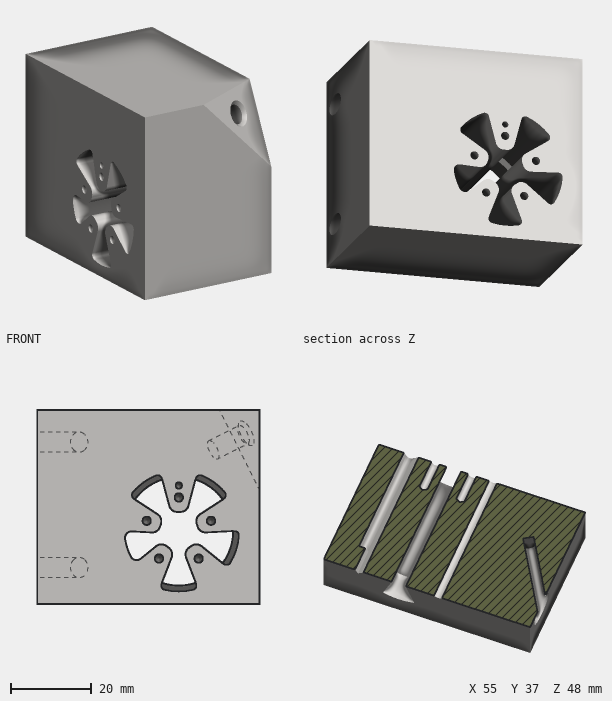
import cadquery as cq
import math

LENGTH = 55.0
WIDTH = 37.0
HEIGHT = 48.0

FACET_X = 10.0
FACET_Y = 19.8
FACET_Z = 20.0
FACET_NORMAL = cq.Vector(1 / FACET_X, 1 / FACET_Y, 1 / FACET_Z).normalized()

FACET_HOLE_X = 51.6
FACET_HOLE_Y = 29.6
FACET_HOLE_DIAMETER = 5.0
FACET_HOLE_DEPTH = 10.0
COUNTERSINK_DIAMETER = 6.7
COUNTERSINK_ANGLE = 90.0

STAR_X = 35.0
STAR_Z = 18.0
LOBE_COUNT = 5
LOBE_PITCH = 360.0 / LOBE_COUNT
FIRST_LOBE_ANGLE = -90.0
SHORT_LOBE = 4
LOBE_HALF_ANGLE = 21.0
LOBE_APEX_RADIUS = 1.9
CORE_RADIUS = 4.75
TOOTH_TIP_FILLET = 2.1

THROUGH_RADIUS = 13.4
RECESS_RADIUS = 14.9
RECESS_DEPTH = 30.0
RECESS_CORNER_FILLET = 1.1
SHORT_LOBE_CORNER_FILLET = 1.6

SCREW_CIRCLE_RADIUS = 8.35
SCREW_HOLE_DIAMETER = 2.1
SCREW_HOLE_DEPTH = 8.0
PIN_CIRCLE_RADIUS = 11.3
PIN_ANGLE = 90.0
PIN_HOLE_DIAMETER = 1.6
PIN_HOLE_DEPTH = 4.0
DRILL_POINT_ANGLE = 118.0

SLANT_HOLE_DIAMETER = 5.0
SLANT_HOLE_DEPTH = 20.0
SLANT_HOLE_Y = 29.45
SLANT_HOLE_HEIGHTS = (9.1, 40.1)
SLANT_ANGLE = 59.0


def star_point(radius, angle):
    """XZ position at a polar location about the star axis."""
    turn = math.radians(angle)
    return (STAR_X + radius * math.cos(turn), STAR_Z + radius * math.sin(turn))


def lobe_angle(index):
    return FIRST_LOBE_ANGLE + index * LOBE_PITCH


def edges_at_radius(solid, low, high):
    """Edges along Y whose distance from the star axis lies between low and high."""
    def distance(edge):
        centre = edge.Center()
        return math.hypot(centre.x - STAR_X, centre.z - STAR_Z)

    return solid.newObject([e for e in solid.edges("|Y").vals() if low < distance(e) < high])


def star_disc(radius, depth):
    """Disc about the star axis, going in from the -Y face."""
    return cq.Workplane("XZ").center(STAR_X, STAR_Z).circle(radius).extrude(-depth)


def lobe(angle, end_radius, depth):
    """Wedge-shaped lobe with a round outer end, going in from the -Y face."""
    reach = 2 * end_radius
    half_width = (reach - LOBE_APEX_RADIUS) * math.tan(math.radians(LOBE_HALF_ANGLE))
    corner_radius = math.hypot(reach, half_width)
    corner_angle = math.degrees(math.atan2(half_width, reach))
    corners = [
        star_point(LOBE_APEX_RADIUS, angle),
        star_point(corner_radius, angle - corner_angle),
        star_point(corner_radius, angle + corner_angle),
    ]
    wedge = cq.Workplane("XZ").polyline(corners).close().extrude(-depth)
    return wedge.intersect(star_disc(end_radius, depth))


def round_lobe_end(solid, fillet):
    return edges_at_radius(solid, CORE_RADIUS, 2 * RECESS_RADIUS).fillet(fillet)


def through_star():
    """Full-depth star with rounded tooth tips."""
    star = star_disc(CORE_RADIUS, WIDTH)
    for index in range(LOBE_COUNT):
        cutter = lobe(lobe_angle(index), THROUGH_RADIUS, WIDTH)
        if index == SHORT_LOBE:
            cutter = round_lobe_end(cutter, SHORT_LOBE_CORNER_FILLET)
        star = star.union(cutter)
    tolerance = 0.01
    tooth_corners = edges_at_radius(star, CORE_RADIUS - tolerance, CORE_RADIUS + tolerance)
    return tooth_corners.fillet(TOOTH_TIP_FILLET)


def lobe_recess(index):
    """Longer lobe end with rounded corners, clear of the rounded tooth tips."""
    recess = round_lobe_end(lobe(lobe_angle(index), RECESS_RADIUS, RECESS_DEPTH), RECESS_CORNER_FILLET)
    inner_radius = (CORE_RADIUS + THROUGH_RADIUS) / 2
    return recess.cut(star_disc(inner_radius, RECESS_DEPTH))


def drilled_hole(radius, angle, diameter, depth):
    """Blind hole with a conical end, drilled into the -Y face."""
    hole_radius = diameter / 2
    point_length = hole_radius / math.tan(math.radians(DRILL_POINT_ANGLE / 2))
    profile = [(0, 0), (hole_radius, 0), (hole_radius, depth), (0, depth + point_length)]
    hole = cq.Workplane("XY").polyline(profile).close().revolve(360, (0, 0), (0, 1))
    x, z = star_point(radius, angle)
    return hole.translate((x, 0, z))


def slanted_hole(z):
    turn = math.radians(SLANT_ANGLE)
    direction = cq.Vector(math.cos(turn), -math.sin(turn), 0)
    entry = cq.Vector(0, SLANT_HOLE_Y, z)
    lead_in = 2 * SLANT_HOLE_DIAMETER
    start = entry - direction * lead_in
    return cq.Solid.makeCylinder(SLANT_HOLE_DIAMETER / 2, lead_in + SLANT_HOLE_DEPTH, start, direction)


def corner_cut():
    """Everything on the outer side of the facet plane."""
    facet_plane = cq.Plane(origin=(LENGTH - FACET_X, WIDTH, HEIGHT), normal=FACET_NORMAL)
    return cq.Workplane(facet_plane).rect(2 * LENGTH, 2 * LENGTH).extrude(LENGTH)


def facet_hole():
    drop_share = 1 - (LENGTH - FACET_HOLE_X) / FACET_X - (WIDTH - FACET_HOLE_Y) / FACET_Y
    mouth = cq.Vector(FACET_HOLE_X, FACET_HOLE_Y, HEIGHT - FACET_Z * drop_share)
    inward = FACET_NORMAL * -1
    hole_radius = FACET_HOLE_DIAMETER / 2
    sink_radius = COUNTERSINK_DIAMETER / 2
    sink_depth = (sink_radius - hole_radius) / math.tan(math.radians(COUNTERSINK_ANGLE / 2))
    bore = cq.Solid.makeCylinder(hole_radius, FACET_HOLE_DEPTH, mouth, inward)
    sink = cq.Solid.makeCone(sink_radius, hole_radius, sink_depth, mouth, inward)
    return bore.fuse(sink)


result = cq.Workplane("XY").box(LENGTH, WIDTH, HEIGHT, centered=False)
result = result.cut(corner_cut()).cut(facet_hole())

result = result.cut(through_star())
for lobe_index in range(LOBE_COUNT):
    if lobe_index != SHORT_LOBE:
        result = result.cut(lobe_recess(lobe_index))
    tooth_angle = lobe_angle(lobe_index) + LOBE_PITCH / 2
    result = result.cut(drilled_hole(SCREW_CIRCLE_RADIUS, tooth_angle, SCREW_HOLE_DIAMETER, SCREW_HOLE_DEPTH))
result = result.cut(drilled_hole(PIN_CIRCLE_RADIUS, PIN_ANGLE, PIN_HOLE_DIAMETER, PIN_HOLE_DEPTH))

for hole_height in SLANT_HOLE_HEIGHTS:
    result = result.cut(slanted_hole(hole_height))